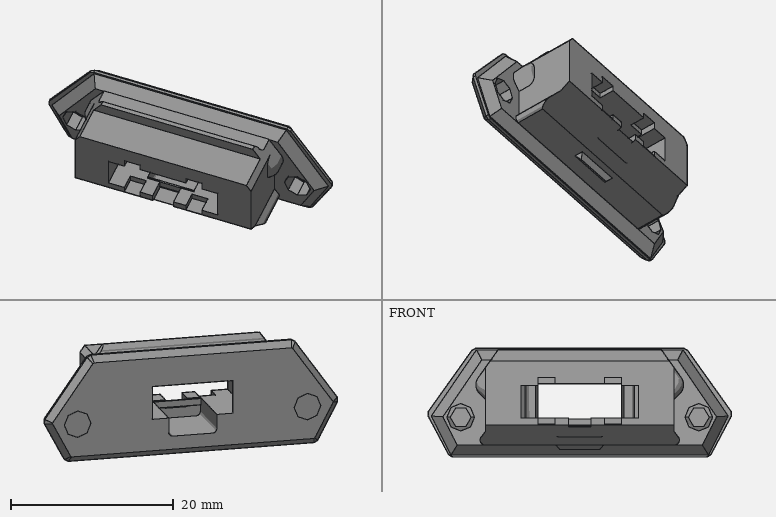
import cadquery as cq


flange_height = 13.38
flange_top_half = 13.05
flange_bottom_half = 15.95
flange_tip_half = 18.8
flange_tip_z = 5.33
corner_cut = 0.315
rear_bevel = 0.8
rim_depth = 1.15
bevel_bottom_half = 15.8
bevel_tip_half = 18.23
bevel_tip_z = 5.05
bevel_top_half = 12.67
rim_step = 0.22
flange_depth = 2.4

body_depth = 10.3
body_half = 11.6
body_top = 11.8
body_neck_top = 11.95
body_bottom = 1.5
shoulder_z = 10.95
flank_slope = (flange_height - flange_tip_z) / (flange_tip_half - flange_top_half)
underside_depth = 6.22
front_bottom = 3.95

lip_top = 13.2
lip_ramp_start = 4.05
lip_ramp_end = 5.3
lip_ramp_bulge = 0.15
lip_front = 5.63

runner_half = 12.22
runner_top = 3.13
runner_shoulder_half = 12.0
runner_shoulder = 2.57
runner_belly = 2.0
runner_foot_half = 11.78

bump_bottom = 7.08
bump_depth = 4.8
bump_radius = 1.5
bump_nose_radius = 0.95

catch_start = 4.25
catch_end = 5.4
catch_base_half = 2.95
catch_peak_half = 2.42
catch_peak_z = 0.9

opening_half = 5.1
opening_bottom = 4.8
opening_top = 9.0
pocket_half = 7.2
pocket_top = 8.75
pocket_floor_half = 5.45
pocket_throat_half = 6.75
pocket_foot_half = 6.5
pocket_taper_start = 3.35
pocket_taper_end = 2.9
pocket_floor = 1.5
pocket_radius = 0.55
notch_inner = 3.02
notch_height = 0.8
notch_length = 2.0
key_half = 1.38
key_bottom = 3.73
front_wall = 2.55

well_half = 3.05
well_bottom = 2.45
well_radius = 0.55
bar_top = 4.7
bar_bottom = 3.88
bar_thickness = 0.22

screw_x = 14.6
screw_z = 4.9
screw_diameter = 3.4
screw_sides = 8
boss_diameter = 2.57
boss_sides = 6
screw_floor = 0.1
boss_top = 0.3


def at_depth(depth):
    """Work plane facing -Y at the given depth; local x is X and local y is Z."""
    return cq.Workplane("XZ", origin=(0, -depth, 0))


def mirrored(right_side):
    """Closed outline from its right half, listed from bottom to top."""
    return right_side + [(-x, z) for x, z in reversed(right_side)]


def block(x_min, x_max, z_min, z_max, depth_min, depth_max):
    size = (x_max - x_min, depth_max - depth_min, z_max - z_min)
    return cq.Workplane("XY").box(*size, centered=False).translate((x_min, -depth_max, z_min))


def make_flange():
    outline = mirrored([
        (flange_bottom_half, 0),
        (flange_tip_half, flange_tip_z),
        (flange_top_half, flange_height),
    ])
    rim = at_depth(0).polyline(outline).close().extrude(rim_depth)
    rim = rim.edges("|Y").chamfer(corner_cut)
    rim = rim.faces(">Y").chamfer(rear_bevel)
    bevel_outline = mirrored([
        (bevel_bottom_half, rim_step),
        (bevel_tip_half, bevel_tip_z),
        (bevel_top_half, flange_height - rim_step),
    ])
    front = at_depth(rim_depth).polyline(bevel_outline).close().extrude(flange_depth - rim_depth, taper=45)
    return rim.union(front)


def make_body():
    lip_half = body_half - (lip_top - shoulder_z) / flank_slope
    cross_section = (
        at_depth(0)
        .moveTo(runner_foot_half, body_bottom)
        .threePointArc((runner_half, runner_belly), (runner_shoulder_half, runner_shoulder))
        .lineTo(body_half, runner_top)
        .lineTo(body_half, shoulder_z)
        .lineTo(lip_half, lip_top)
        .lineTo(0, lip_top)
        .lineTo(0, body_bottom)
        .close()
        .extrude(body_depth)
    )
    cross_section = cross_section.union(cross_section.mirror("YZ"))
    ramp_middle = ((-lip_ramp_start - lip_ramp_end) / 2, (body_neck_top + lip_top) / 2)
    side_profile = (
        cq.Workplane("YZ", origin=(-flange_tip_half, 0, 0))
        .moveTo(0, body_bottom)
        .lineTo(0, body_neck_top)
        .lineTo(-lip_ramp_start, body_neck_top)
        .sagittaArc(ramp_middle, lip_ramp_bulge)
        .sagittaArc((-lip_ramp_end, lip_top), -lip_ramp_bulge)
        .lineTo(-lip_front, lip_top)
        .lineTo(-lip_front, body_top)
        .lineTo(-body_depth, body_top)
        .lineTo(-body_depth, front_bottom)
        .lineTo(-underside_depth, body_bottom)
        .close()
        .extrude(2 * flange_tip_half)
    )
    return cross_section.intersect(side_profile)


def make_side_bumps():
    reach = (shoulder_z - bump_bottom) / (1 + flank_slope)
    bump = (
        at_depth(0)
        .polyline(mirrored([
            (body_half, bump_bottom),
            (body_half + reach, bump_bottom + reach),
            (body_half, shoulder_z),
        ]))
        .close()
        .extrude(bump_depth)
    )
    bump = bump.edges("|Y and (<X or >X)").fillet(bump_radius)
    return bump.faces("<Y").edges().fillet(bump_nose_radius)


def make_catch():
    middle = (catch_start + catch_end) / 2
    ridge = (
        cq.Workplane("YZ", origin=(-catch_base_half, 0, 0))
        .polyline([(-catch_start, body_bottom), (-middle, catch_peak_z), (-catch_end, body_bottom)])
        .close()
        .extrude(2 * catch_base_half)
    )
    ends = (
        at_depth(catch_start)
        .polyline(mirrored([(catch_peak_half, catch_peak_z), (catch_base_half, body_bottom)]))
        .close()
        .extrude(catch_end - catch_start)
    )
    return ridge.intersect(ends)


def make_opening():
    opening = block(-opening_half, opening_half, opening_bottom, opening_top, 0, body_depth)

    pocket_middle_z = (opening_bottom + pocket_top) / 2
    pockets = (
        cq.Workplane("XY", origin=(0, 0, opening_bottom))
        .polyline(mirrored([
            (pocket_half, -body_depth),
            (pocket_half, -pocket_taper_start),
            (pocket_throat_half, -pocket_taper_end),
            (pocket_foot_half, -pocket_floor),
            (pocket_floor_half, -pocket_floor),
            (opening_half, 0),
        ]))
        .close()
        .extrude(pocket_top - opening_bottom)
    )
    for direction in (-1, 1):
        corner = cq.selectors.NearestToPointSelector(
            (direction * pocket_foot_half, -pocket_floor, pocket_middle_z)
        )
        pockets = pockets.edges(corner).fillet(pocket_radius)
    opening = opening.union(pockets)

    notch_back = body_depth - notch_length
    for x_min in (-opening_half, notch_inner):
        x_max = x_min + opening_half - notch_inner
        opening = opening.union(block(
            x_min, x_max, opening_bottom - notch_height, opening_top + notch_height, notch_back, body_depth,
        ))
    wall_back = body_depth - front_wall
    key_slot = block(-key_half, key_half, key_bottom, opening_bottom, wall_back, body_depth)

    well = block(-well_half, well_half, well_bottom, opening_bottom, 0, wall_back)
    well = well.edges("|Y and <Z").fillet(well_radius)
    bar = block(-well_half, well_half, bar_bottom, bar_top, wall_back - bar_thickness, wall_back)
    return opening.union(key_slot).union(well.cut(bar))


def make_screw_recess(x):
    recess = (
        at_depth(screw_floor).center(x, screw_z).polygon(screw_sides, screw_diameter)
        .extrude(flange_depth - screw_floor)
    )
    boss = (
        at_depth(screw_floor).center(x, screw_z).polygon(screw_sides, screw_diameter)
        .workplane(offset=boss_top - screw_floor).polygon(boss_sides, boss_diameter)
        .loft(ruled=True)
    )
    return recess.cut(boss)


result = make_flange().union(make_body()).union(make_side_bumps()).union(make_catch())
result = result.cut(make_opening())
for side in (-1, 1):
    result = result.cut(make_screw_recess(side * screw_x))